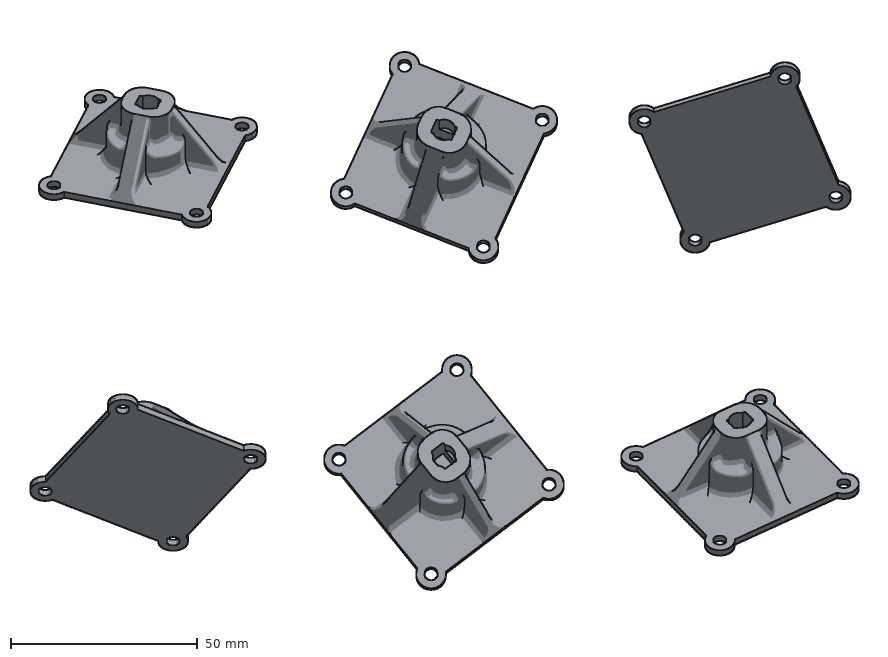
import cadquery as cq
import math

plate_side = 44.0
plate_thickness = 2.0
ear_spacing = 40.0
ear_radius = 4.0
screw_hole_diameter = 3.5

total_height = 20.0
hub_length = 14.0
hub_width = 12.0
hub_corner_radius = 5.0
shelf_height = 10.0
shelf_width = 4.0

x_rib_thickness = 3.0
y_rib_thickness = 5.0

root_radius = 3.0
edge_radius = 1.0
rim_radius = 0.99

socket_length = 6.0
socket_width = 4.1
socket_corner_radius = 0.3
socket_depth = 12.0
bore_diameter = 6.0
bore_depth = 6.0

plate_half = plate_side / 2
body_length = hub_length + 2 * shelf_width
body_width = hub_width + 2 * shelf_width
body_corner_radius = hub_corner_radius + shelf_width
shelf_root_top = shelf_height + root_radius
core_top = shelf_root_top + edge_radius
overrun = 2 * root_radius
tolerance = 0.01


def rounded_block(length, width, corner_radius, bottom, top):
    """Upright block with rounded vertical corners."""
    block = cq.Workplane("XY", origin=(0, 0, bottom)).rect(length, width).extrude(top - bottom)
    return block.edges("|Z").fillet(corner_radius)


def hub_block(bottom, top):
    return rounded_block(hub_length, hub_width, hub_corner_radius, bottom, top)


def body_block(bottom, top):
    return rounded_block(body_length, body_width, body_corner_radius, bottom, top)


def box_between(low, high):
    """Axis-aligned box from its low corner to its high corner."""
    size = [b - a for a, b in zip(low, high)]
    return cq.Workplane("XY").box(*size, centered=False).translate(low)


def quarter_turn(solid):
    """Turn a solid about Z so that its +X side faces +Y."""
    return solid.rotate((0, 0, 0), (0, 0, 1), 90)


def body_outline_distance(point):
    """Distance of a point, in plan, outside the rounded outline of the lower body."""
    dx = max(abs(point.x) - body_length / 2 + body_corner_radius, 0)
    dy = max(abs(point.y) - body_width / 2 + body_corner_radius, 0)
    return math.hypot(dx, dy) - body_corner_radius


def on_body_outline(edge):
    return abs(body_outline_distance(edge.positionAt(0.5))) < tolerance


def at_level(edge, height):
    box = edge.BoundingBox()
    return abs(box.zmin - height) < tolerance and abs(box.zmax - height) < tolerance


def make_plate():
    plate = cq.Workplane("XY").rect(plate_side, plate_side).extrude(plate_thickness)
    ears = cq.Workplane("XY").rect(ear_spacing, ear_spacing, forConstruction=True).vertices()
    return plate.union(ears.circle(ear_radius).extrude(plate_thickness))


def make_body_foot():
    """Plate with the lower body standing on it, joined by a root round."""
    foot = make_plate().union(body_block(plate_thickness, shelf_height - edge_radius))
    root = [e for e in foot.edges().vals() if at_level(e, plate_thickness) and on_body_outline(e)]
    return foot.newObject(root).fillet(root_radius)


def make_core():
    """Shelves of the lower body, blended into the hub and the inner ends of the ribs."""
    x_wall = cq.Workplane("XY").box(body_length, x_rib_thickness, 2 * core_top)
    y_wall = cq.Workplane("XY").box(y_rib_thickness, body_width, 2 * core_top)
    cross = body_block(plate_thickness, core_top).intersect(x_wall.union(y_wall))
    core = body_block(plate_thickness, shelf_height).union(cross)
    core = core.union(hub_block(plate_thickness, core_top))

    shelf_edges = [e for e in core.edges().vals() if at_level(e, shelf_height)]
    core = core.newObject([e for e in shelf_edges if not on_body_outline(e)]).fillet(root_radius)

    def is_hub_corner(edge):
        box = edge.BoundingBox()
        return (
            abs(box.zmin - shelf_root_top) < tolerance
            and abs(box.zmax - core_top) < tolerance
            and body_outline_distance(edge.positionAt(0.5)) < -edge_radius
        )

    core = core.newObject([e for e in core.edges().vals() if is_hub_corner(e)]).fillet(edge_radius)

    def is_rim(edge):
        box = edge.BoundingBox()
        above_shelf = box.zmin > shelf_height - tolerance
        below_top = box.zmin < core_top - tolerance
        return on_body_outline(edge) and above_shelf and below_top

    core = core.newObject([e for e in core.edges().vals() if is_rim(e)]).fillet(rim_radius)
    return core.intersect(body_block(plate_thickness, shelf_root_top))


def make_rib(thickness, hub_reach, hub_across):
    """Rib toward +X from a hub that reaches hub_reach along X and is hub_across wide along Y."""
    length = plate_half + overrun
    half = thickness / 2
    wing = half + root_radius + overrun
    slope = (total_height - plate_thickness) / (plate_half - hub_reach)
    peak = total_height + slope * hub_reach

    wall = box_between((0, -wing, 0), (length, wing, plate_thickness))
    wall = wall.union(box_between((0, -half, plate_thickness), (length, half, peak)))
    roots = [e for e in wall.edges("|X").vals() if at_level(e, plate_thickness)]
    roots = [e for e in roots if abs(e.Center().y) < half + tolerance]
    wall = wall.newObject(roots).fillet(root_radius)

    under_slope = (
        cq.Workplane("XZ")
        .lineTo(0, peak)
        .lineTo(plate_half + plate_thickness / slope, 0)
        .close()
        .extrude(wing, both=True)
    )
    rib = wall.intersect(under_slope)

    def is_slope_edge(edge):
        box = edge.BoundingBox()
        return box.zmin > plate_thickness - tolerance and box.xmax > tolerance

    mid_slope = ((plate_half + hub_reach) / 2, 0, (plate_thickness + total_height) / 2)
    slope_edges = rib.faces(cq.selectors.NearestToPointSelector(mid_slope)).edges().vals()
    rib = rib.newObject([e for e in slope_edges if is_slope_edge(e)]).fillet(edge_radius)

    rib = rib.union(rounded_block(2 * hub_reach, hub_across, hub_corner_radius, shelf_root_top, 2 * peak))

    def is_hub_corner(edge):
        middle = edge.positionAt(0.5)
        low = abs(edge.BoundingBox().zmin - shelf_root_top) < tolerance
        return low and abs(abs(middle.y) - half) < tolerance and 0 < middle.x < hub_reach

    rib = rib.newObject([e for e in rib.edges("|Z").vals() if is_hub_corner(e)]).fillet(edge_radius)
    return rib.intersect(under_slope)


def make_socket():
    rectangle = rounded_block(
        socket_length, socket_width, socket_corner_radius, total_height - socket_depth, total_height
    )
    bore = cq.Workplane("XY", origin=(0, 0, total_height)).circle(bore_diameter / 2).extrude(-bore_depth)
    return rectangle.union(bore)


def make_ribs():
    """All four ribs, trimmed to the plate and to the top of the hub."""
    x_rib = make_rib(x_rib_thickness, hub_length / 2, hub_width)
    y_rib = quarter_turn(make_rib(y_rib_thickness, hub_width / 2, hub_length))
    ribs = x_rib.union(y_rib)
    for rib in (x_rib, y_rib):
        ribs = ribs.union(quarter_turn(quarter_turn(rib)))
    low = (-plate_half, -plate_half, plate_thickness)
    high = (plate_half, plate_half, total_height)
    return ribs.intersect(box_between(low, high))


def make_screw_holes():
    centers = cq.Workplane("XY").rect(ear_spacing, ear_spacing, forConstruction=True).vertices()
    return centers.circle(screw_hole_diameter / 2).extrude(plate_thickness)


part = make_body_foot().union(make_core())
part = part.union(make_ribs())
part = part.union(hub_block(shelf_height, total_height))
result = part.cut(make_screw_holes()).cut(make_socket())